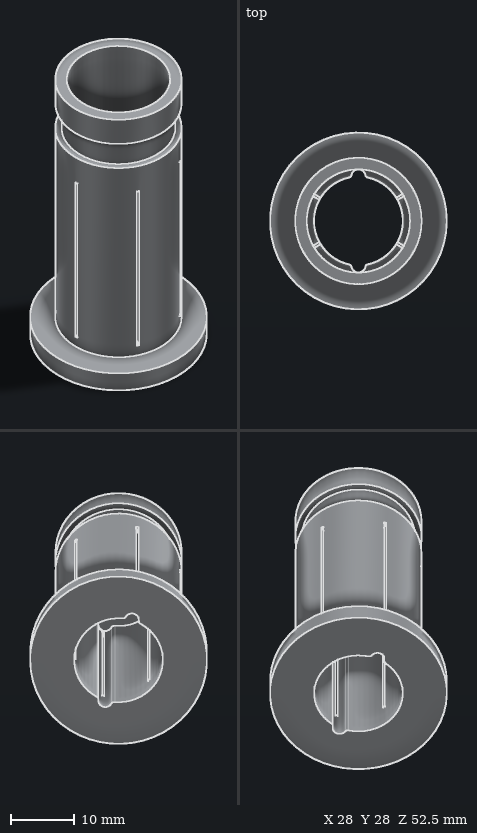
import cadquery as cq

HEIGHT = 52.5
FLANGE_DIAMETER = 28.0
FLANGE_THICKNESS = 3.5

SLEEVE_DIAMETER = 20.0
COLLAR_HEIGHT = 5.0
GROOVE_DIAMETER = 18.0
GROOVE_WIDTH = 5.0

BORE_DIAMETER = 14.0
COUNTERBORE_DIAMETER = 16.35

SLOT_COUNT = 6
SLOT_WIDTH = 0.4
SLOT_BOTTOM = 5.5
SLOT_TOP = 37.3
FIRST_SLOT_ANGLE = 30.0

CHANNEL_DIAMETER = 2.2
CHANNEL_CENTRE_RADIUS = 7.05
CHANNEL_MOUTH_FILLET = 0.5


def cylinder(diameter, bottom, top):
    """Cylinder on the Z axis between two heights."""
    return cq.Workplane("XY").workplane(offset=bottom).circle(diameter / 2).extrude(top - bottom)


def make_outer_body():
    """Flange, sleeve, groove and collar as one solid of revolution."""
    collar_bottom = HEIGHT - COLLAR_HEIGHT
    groove_bottom = collar_bottom - GROOVE_WIDTH
    flange = cylinder(FLANGE_DIAMETER, 0, FLANGE_THICKNESS)
    sleeve = cylinder(SLEEVE_DIAMETER, FLANGE_THICKNESS, groove_bottom)
    neck = cylinder(GROOVE_DIAMETER, groove_bottom, collar_bottom)
    collar = cylinder(SLEEVE_DIAMETER, collar_bottom, HEIGHT)
    return flange.union(sleeve).union(neck).union(collar)


def make_channelled_bore():
    """Bore core with both channels, running up to the counterbore."""
    core = cylinder(BORE_DIAMETER, 0, SLOT_TOP)
    channels = (
        cq.Workplane("XY")
        .pushPoints([(0, CHANNEL_CENTRE_RADIUS), (0, -CHANNEL_CENTRE_RADIUS)])
        .circle(CHANNEL_DIAMETER / 2)
        .extrude(SLOT_TOP)
    )
    mouth_box = cq.selectors.BoxSelector(
        (-CHANNEL_DIAMETER, -CHANNEL_CENTRE_RADIUS, 0),
        (CHANNEL_DIAMETER, CHANNEL_CENTRE_RADIUS, SLOT_TOP),
    )
    return core.union(channels).edges("|Z").edges(mouth_box).fillet(CHANNEL_MOUTH_FILLET)


def make_slots():
    """Radial slot cutters, equally spaced around the sleeve."""
    cutter_length = SLEEVE_DIAMETER / 2
    cutter = cq.Workplane("XY").box(
        cutter_length, SLOT_WIDTH, SLOT_TOP - SLOT_BOTTOM, centered=(False, True, False)
    ).translate((0, 0, SLOT_BOTTOM))
    slots = cq.Workplane("XY")
    for index in range(SLOT_COUNT):
        angle = FIRST_SLOT_ANGLE + index * 360 / SLOT_COUNT
        slots = slots.add(cutter.rotate((0, 0, 0), (0, 0, 1), angle))
    return slots.combine()


body = make_outer_body()
body = body.cut(make_channelled_bore())
body = body.cut(cylinder(COUNTERBORE_DIAMETER, SLOT_TOP, HEIGHT))
result = body.cut(make_slots())